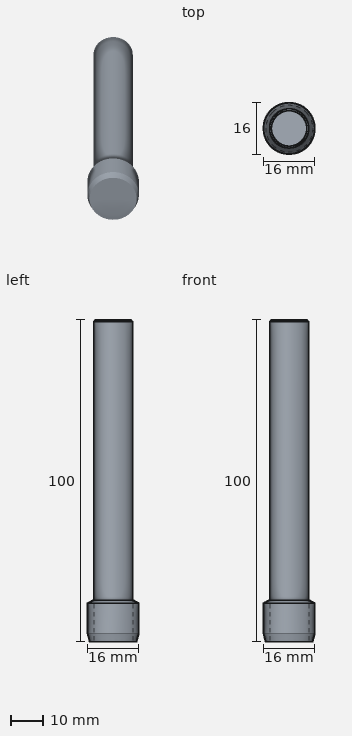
import cadquery as cq

total_length = 100.0
shaft_radius = 6.1
shaft_chamfer = 0.6

collar_radius = 8.0
collar_height = 13.0
shoulder_height = 1.0
taper_height = 2.6
taper_depth = 0.7


def make_shaft():
    """Plain round rod with a chamfered upper end."""
    rod = cq.Workplane("XY").circle(shaft_radius).extrude(total_length)
    return rod.faces(">Z").chamfer(shaft_chamfer)


def make_collar():
    """Ring fitted on the shaft, with a conical shoulder and a tapered lower end."""
    profile = (
        cq.Workplane("XZ")
        .moveTo(shaft_radius, 0)
        .lineTo(collar_radius - taper_depth, 0)
        .lineTo(collar_radius, taper_height)
        .lineTo(collar_radius, collar_height - shoulder_height)
        .lineTo(shaft_radius, collar_height)
        .close()
    )
    return profile.revolve(360, (0, 0), (0, 1))


shaft = make_shaft()
collar = make_collar()

result = cq.Compound.makeCompound([shaft.val(), collar.val()])